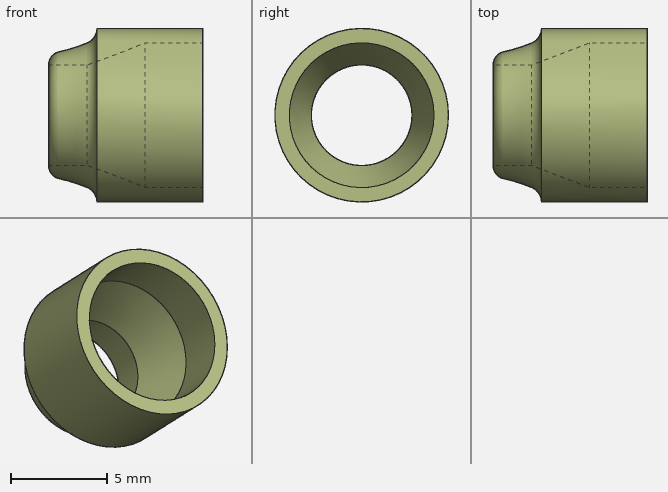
import cadquery as cq

length = 8.0
body_radius = 4.5
neck_bore_radius = 2.6
body_bore_radius = 3.7485

nose_round_end = 0.48
neck_end = 2.0
shoulder_position = 2.5
flare_end = 5.0

nose_outer_radius = 3.28
neck_waist_radius = 3.47
neck_base_radius = body_bore_radius

neck_middle = (nose_round_end + neck_end) / 2


def tangent_vertical_radius(run, rise):
    """Radius of an arc that spans run and rise and is radial at one end."""
    return (run**2 + rise**2) / (2 * run)


lip_radius = tangent_vertical_radius(nose_round_end, nose_outer_radius - neck_bore_radius)
shoulder_radius = tangent_vertical_radius(shoulder_position - neck_end, body_radius - neck_base_radius)

half_section = (
    cq.Workplane("XY")
    .moveTo(0, neck_bore_radius)
    .radiusArc((nose_round_end, nose_outer_radius), lip_radius)
    .threePointArc((neck_middle, neck_waist_radius), (neck_end, neck_base_radius))
    .radiusArc((shoulder_position, body_radius), -shoulder_radius)
    .lineTo(length, body_radius)
    .lineTo(length, body_bore_radius)
    .lineTo(flare_end, body_bore_radius)
    .lineTo(neck_end, neck_bore_radius)
    .close()
)

result = half_section.revolve(360, (0, 0, 0), (1, 0, 0))